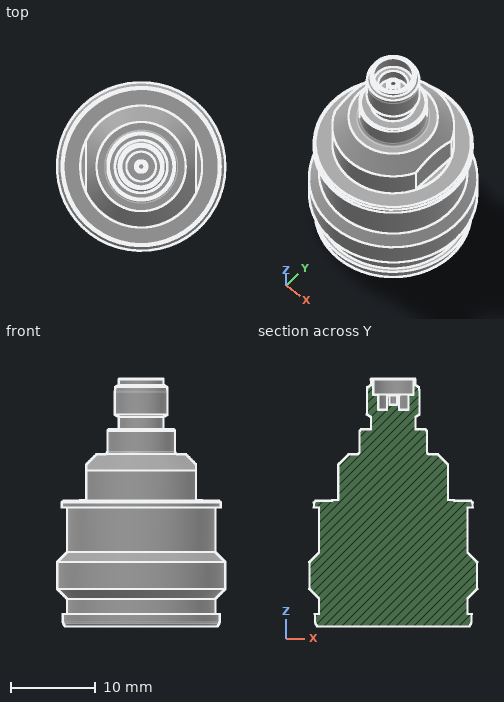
import cadquery as cq

total_height = 29.23

rim_radius = 9.27
rim_top = 1.5
rim_bevel_top = 0.55
rim_bevel_mid = 0.35
rim_bevel_mid_radius = 9.2
rim_foot_radius = 9.0

sleeve_radius = 8.77
ring_radius = 9.95
ring_bottom = 4.45
ring_top = 7.6
ring_cone = ring_radius - sleeve_radius

flange_radius = 9.38
flange_bottom = 14.0
flange_top = 14.85
flange_chamfer = 0.23

body_radius = 7.2
body_top = 20.31
body_cone = 1.93
flat_distance = 6.5
flat_floor = 14.95

collar_radius = 4.0
collar_top = 23.27
collar_chamfer = 0.2
collar_fillet = 0.3

neck_radius = 2.65
lip_chamfer = 0.1
thread_radius = 3.13
thread_bottom = 24.7
thread_top = 28.47
thread_chamfer = 0.25
taper_radius = 3.07
taper_bottom = 27.65

socket_radius = 2.35
socket_depth = 1.9
mouth_chamfer = 0.1
inner_bore_radius = 1.75
inner_bore_depth = 1.75
pin_radius = 0.73
pin_hole_radius = 0.4
pin_chamfer = 0.1
pin_hole_depth = 1.17


def turned_blank():
    """Revolve the whole outer profile, ring, body and neck, as one solid."""
    profile = (
        cq.Workplane("XZ")
        .moveTo(0, 0)
        .lineTo(rim_foot_radius, 0)
        .lineTo(rim_bevel_mid_radius, rim_bevel_mid)
        .lineTo(rim_radius, rim_bevel_top)
        .lineTo(rim_radius, rim_top)
        .lineTo(sleeve_radius, rim_top)
        .lineTo(sleeve_radius, ring_bottom - ring_cone)
        .lineTo(ring_radius, ring_bottom)
        .lineTo(ring_radius, ring_top)
        .lineTo(sleeve_radius, ring_top + ring_cone)
        .lineTo(sleeve_radius, flange_bottom)
        .lineTo(flange_radius, flange_bottom)
        .lineTo(flange_radius, flange_top - flange_chamfer)
        .lineTo(flange_radius - flange_chamfer, flange_top)
        .lineTo(body_radius, flange_top)
        .lineTo(body_radius, body_top - body_cone)
        .lineTo(body_radius - body_cone, body_top)
        .lineTo(collar_radius + collar_fillet, body_top)
        .radiusArc((collar_radius, body_top + collar_fillet), collar_fillet)
        .lineTo(collar_radius, collar_top - collar_chamfer)
        .lineTo(collar_radius - collar_chamfer, collar_top)
        .lineTo(neck_radius, collar_top)
        .lineTo(neck_radius, thread_bottom)
        .lineTo(thread_radius, thread_bottom + thread_chamfer)
        .lineTo(thread_radius, taper_bottom)
        .lineTo(taper_radius, thread_top - thread_chamfer)
        .lineTo(neck_radius, thread_top)
        .lineTo(neck_radius, total_height - lip_chamfer)
        .lineTo(neck_radius - lip_chamfer, total_height)
        .lineTo(0, total_height)
        .close()
    )
    return profile.revolve(360, (0, 0, 0), (0, 1, 0))


def wrench_flat(side):
    """Material outside one flat; side is +1 for +X and -1 for -X."""
    cut_depth = body_radius - flat_distance
    block = cq.Workplane("XY").box(
        cut_depth, 2 * body_radius, body_top - flat_floor, centered=(True, True, False)
    )
    return block.translate((side * (flat_distance + cut_depth / 2), 0, flat_floor))


def cylinder_down(radius, top, depth):
    """Cylinder on the part axis reaching down from the height top."""
    return cq.Workplane("XY").workplane(offset=top).circle(radius).extrude(-depth)


def cut_socket(part):
    """Bore the stepped socket, leaving the hollow pin level with its step."""
    step_height = total_height - socket_depth
    part = part.cut(cylinder_down(socket_radius, total_height, socket_depth))
    mouth_edge = part.faces(">Z").edges(cq.selectors.RadiusNthSelector(0))
    part = mouth_edge.chamfer(mouth_chamfer)
    pin = cylinder_down(pin_radius, step_height, inner_bore_depth)
    pin = pin.cut(cylinder_down(pin_hole_radius, step_height, pin_hole_depth))
    pin = pin.faces(">Z").chamfer(pin_chamfer)
    inner_bore = cylinder_down(inner_bore_radius, step_height, inner_bore_depth)
    return part.cut(inner_bore.cut(pin))


result = turned_blank()
for side in (1, -1):
    result = result.cut(wrench_flat(side))
result = cut_socket(result)